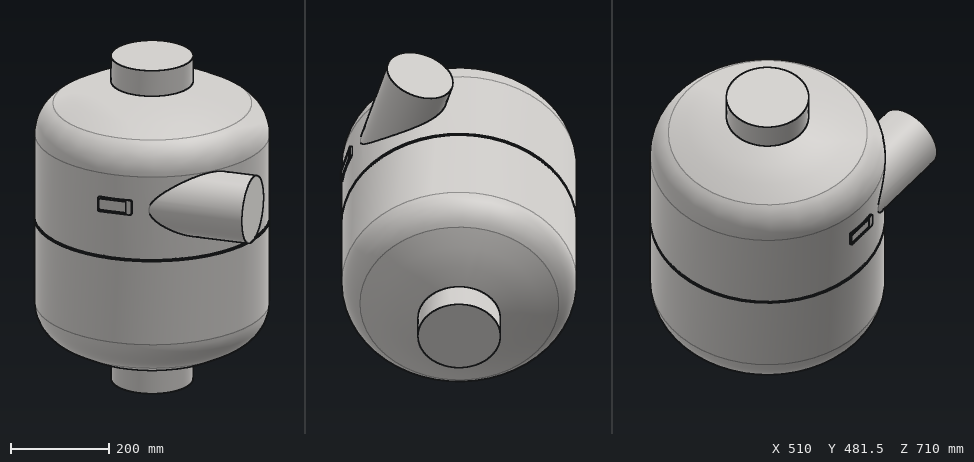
import cadquery as cq
import math

TOTAL_HEIGHT = 710.0
TANK_RADIUS = 480.0 / 2
MID_HEIGHT = TOTAL_HEIGHT / 2

NOZZLE_RADIUS = 168.0 / 2
NOZZLE_LENGTH = 56.0

CROWN_RADIUS = 387.0
KNUCKLE_RADIUS = 78.0

SEAM_HEIGHT = 4.0
SEAM_DEPTH = 4.0

INLET_RADIUS = 140.0 / 2
INLET_END_X = 270.0
INLET_Y = -160.0
INLET_Z = 466.5

PLATE_WIDTH = 72.5
PLATE_HEIGHT = 32.0
PLATE_FRONT_Y = -241.5
PLATE_Z = 471.0
PLATE_CORNER_RADIUS = 4.0
LABEL_WIDTH = 58.0
LABEL_HEIGHT = 24.0
LABEL_LEFT_MARGIN = 2.0
LABEL_DEPTH = 1.0
LABEL_CORNER_RADIUS = 3.0


def make_half_tank():
    """Upper half of the vessel: cylinder, dished head and solid nozzle."""
    head_end = TOTAL_HEIGHT - NOZZLE_LENGTH
    knuckle_centre_r = TANK_RADIUS - KNUCKLE_RADIUS
    crown_centre_z = head_end - math.sqrt(CROWN_RADIUS**2 - NOZZLE_RADIUS**2)

    nozzle_angle = math.asin(NOZZLE_RADIUS / CROWN_RADIUS)
    tangent_angle = math.asin(knuckle_centre_r / (CROWN_RADIUS - KNUCKLE_RADIUS))
    knuckle_centre_z = crown_centre_z + (CROWN_RADIUS - KNUCKLE_RADIUS) * math.cos(tangent_angle)

    def crown_point(angle):
        return (
            CROWN_RADIUS * math.sin(angle),
            crown_centre_z + CROWN_RADIUS * math.cos(angle),
        )

    def knuckle_point(angle):
        return (
            knuckle_centre_r + KNUCKLE_RADIUS * math.sin(angle),
            knuckle_centre_z + KNUCKLE_RADIUS * math.cos(angle),
        )

    rim_z = MID_HEIGHT + SEAM_HEIGHT / 2
    profile = (
        cq.Workplane("XZ")
        .moveTo(0, rim_z)
        .lineTo(TANK_RADIUS, rim_z)
        .lineTo(TANK_RADIUS, knuckle_centre_z)
        .threePointArc(knuckle_point((math.pi / 2 + tangent_angle) / 2), knuckle_point(tangent_angle))
        .threePointArc(crown_point((tangent_angle + nozzle_angle) / 2), (NOZZLE_RADIUS, head_end))
        .lineTo(NOZZLE_RADIUS, TOTAL_HEIGHT)
        .lineTo(0, TOTAL_HEIGHT)
        .close()
    )
    return profile.revolve(360, (0, 0, 0), (0, 1, 0))


def make_upper_tank():
    """Upper half with the side inlet pipe joined to it."""
    inlet = cq.Workplane("YZ").center(INLET_Y, INLET_Z).circle(INLET_RADIUS).extrude(INLET_END_X)
    return make_half_tank().union(inlet)


def make_lower_tank():
    """Lower half, the mirror image of the plain upper half."""
    return make_half_tank().mirror("XY", (0, 0, MID_HEIGHT))


def make_seam_disc():
    """Thin disc that joins the two halves and leaves a groove around the tank."""
    return (
        cq.Workplane("XY", origin=(0, 0, MID_HEIGHT - SEAM_HEIGHT / 2))
        .circle(TANK_RADIUS - SEAM_DEPTH)
        .extrude(SEAM_HEIGHT)
    )


def make_name_plate():
    """Flat-fronted plate whose back follows the tank wall, with a label recess."""
    tank_wall = cq.Workplane("XY").circle(TANK_RADIUS).extrude(TOTAL_HEIGHT)
    plate = (
        cq.Workplane("XZ")
        .center(0, PLATE_Z)
        .rect(PLATE_WIDTH, PLATE_HEIGHT)
        .extrude(-PLATE_FRONT_Y)
        .edges("|Y")
        .fillet(PLATE_CORNER_RADIUS)
        .cut(tank_wall)
    )
    label_x = (LABEL_WIDTH - PLATE_WIDTH) / 2 + LABEL_LEFT_MARGIN
    label = (
        cq.Workplane("XZ", origin=(label_x, PLATE_FRONT_Y, PLATE_Z))
        .rect(LABEL_WIDTH, LABEL_HEIGHT)
        .extrude(-LABEL_DEPTH)
        .edges("|Y and <X")
        .fillet(LABEL_CORNER_RADIUS)
    )
    return plate.cut(label)


upper_tank = make_upper_tank()
lower_tank = make_lower_tank()
seam_disc = make_seam_disc()
name_plate = make_name_plate()

result = cq.Compound.makeCompound(
    [upper_tank.val(), lower_tank.val(), seam_disc.val(), name_plate.val()]
)